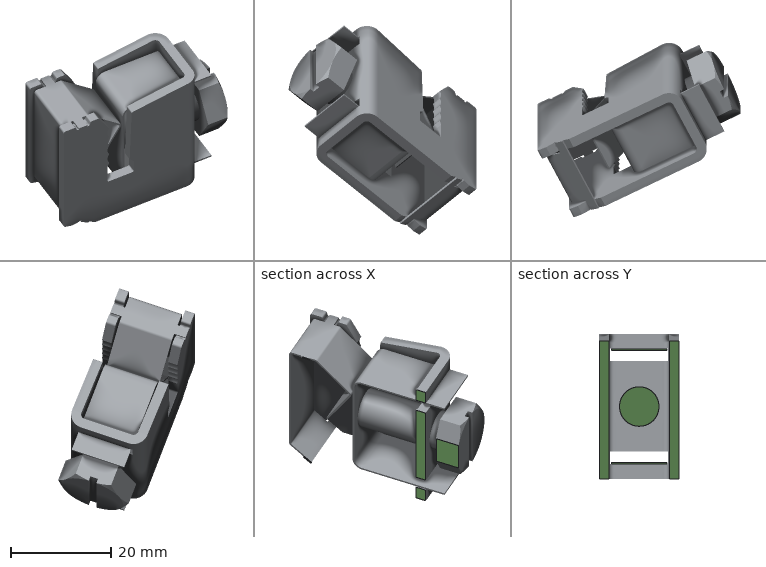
import cadquery as cq
import math


WIDTH = 16.0
HEIGHT = 29.0
YOKE_BACK = 30.98
WALL = 2.0
BEND_OUTER_RADIUS = 2.98
BEND_INNER_RADIUS = BEND_OUTER_RADIUS - WALL
MID_HEIGHT = HEIGHT / 2

SLOT_FLOOR = 10.05
SLOT_BACK = 15.95
SLOT_FRONT = 9.97
SLOT_CORNER_RADIUS = 0.3
WING_TOP = (15.47, 27.1)
WING_BOTTOM = (15.0, 14.02)
WING_RELIEF_TOP = 13.03
WING_CORNER_RADIUS = 0.3

TOOTH_DEPTH = 0.4
TOOTH_TIP = SLOT_FRONT + TOOTH_DEPTH
TOOTH_PITCH = 2.45
TOOTH_COUNT = 5
FIRST_TOOTH = 15.3
JAW_FACE_TOP = 14.25

JAW_CREST = 7.95
JAW_EDGE_RADIUS = 0.5
NOTCH_CENTRE = 4.45
NOTCH_FLOOR_WIDTH = 2.83
NOTCH_TOP_WIDTH = 3.48
NOTCH_DEPTH = 1.0
NOTCH_FLOOR = HEIGHT - NOTCH_DEPTH
NOTCH_EDGE_RADIUS = 0.4
NOTCH_FLOOR_RADIUS = 0.3
RAMP_START = 7.1
RAMP_ANGLE = math.radians(33.5)
RAMP_END = 3.85
RAMP_STEP = (3.5, 1.87)
TOE_LOW = (1.95, 1.55)
TOE_FRONT_HEIGHT = 2.02

SHEET = 0.4
SHEET_WIDTH = 11.15

TAB_LENGTH = 2.0
CLIP_TOP = NOTCH_FLOOR + SHEET
CLIP_FRONT = 0.73
CLIP_RADIUS = 0.73
CLIP_TIP = (14.6, 21.95)
CLIP_TIP_RADIUS = 0.55
CLIP_LEG_END = (9.25, 13.52)
CLIP_TOP_BACK = 6.8
LOWER_TAB_START = 5.75

PRESSURE_HEIGHT = 23.07
PRESSURE_FRONT = 14.75
PRESSURE_BACK = 35.0
PRESSURE_RADIUS = 2.05
WINDOW_WIDTH = 11.7
WINDOW_HEIGHT = 2.52

SCREW_DIAMETER = 8.0
HEAD_FLATS = 13.0
HEAD_CORNERS = HEAD_FLATS / math.cos(math.pi / 6)
HEAD_TOP = 38.2
HEAD_HEIGHT = 5.0
HEAD_CHAMFER_RADIUS = 6.5
HEAD_CHAMFER_ANGLE = math.radians(30)
DRIVE_SLOT_WIDTH = 1.6
DRIVE_SLOT_DEPTH = 1.0


def unit(start, end):
    """Unit vector from one (y, z) point to another."""
    length = math.dist(start, end)
    return ((end[0] - start[0]) / length, (end[1] - start[1]) / length)


def shifted(point, direction, distance):
    """Point moved a distance along a direction."""
    return (point[0] + direction[0] * distance, point[1] + direction[1] * distance)


def draw_rounded(sketch, start, corners):
    """Continue a sketch from a point through (point, radius) corners; the last one stays sharp."""
    points = [start] + [point for point, _ in corners]
    for i, (corner, radius) in enumerate(corners):
        if radius == 0 or i == len(corners) - 1:
            sketch = sketch.lineTo(*corner)
            continue
        back = unit(corner, points[i])
        ahead = unit(corner, points[i + 2])
        half_angle = math.acos(back[0] * ahead[0] + back[1] * ahead[1]) / 2
        tangent = radius / math.tan(half_angle)
        bisector = unit((0, 0), (back[0] + ahead[0], back[1] + ahead[1]))
        middle = shifted(corner, bisector, radius / math.sin(half_angle) - radius)
        sketch = sketch.lineTo(*shifted(corner, back, tangent))
        sketch = sketch.threePointArc(middle, shifted(corner, ahead, tangent))
    return sketch


def bent_sheet(outer):
    """Sheet following (point, radius) corners on its outer side, turning only from +Y to +Z."""
    points = [point for point, _ in outer]
    directions = [unit(start, end) for start, end in zip(points, points[1:])]
    arriving = [directions[0]] + directions
    leaving = directions + [directions[-1]]
    inner = []
    for (point, radius), before, after in zip(outer, arriving, leaving):
        mitre = (-before[1] - after[1], before[0] + after[0])
        scale = 2 * SHEET / (mitre[0] ** 2 + mitre[1] ** 2)
        inner.append((shifted(point, mitre, scale), max(radius - SHEET, 0)))
    inner.reverse()
    inner_start = inner[0][0]
    profile = cq.Workplane("YZ").moveTo(*points[0])
    profile = draw_rounded(profile, points[0], outer[1:])
    profile = profile.lineTo(*inner_start)
    profile = draw_rounded(profile, inner_start, inner[1:])
    return profile.close().extrude(SHEET_WIDTH / 2, both=True)


def ramp_height(y):
    """Height of the jaw's sloping underside."""
    return (RAMP_START - y) * math.tan(RAMP_ANGLE)


def yoke_side_outline():
    """Outline of the yoke wings and jaw, from the rear bottom corner up and over to the front."""
    notch_top_back = NOTCH_CENTRE + NOTCH_TOP_WIDTH / 2
    notch_floor_back = NOTCH_CENTRE + NOTCH_FLOOR_WIDTH / 2
    notch_floor_front = NOTCH_CENTRE - NOTCH_FLOOR_WIDTH / 2
    notch_top_front = NOTCH_CENTRE - NOTCH_TOP_WIDTH / 2
    rear_bottom = (YOKE_BACK, 0)
    top_tooth = (TOOTH_TIP, FIRST_TOOTH + (TOOTH_COUNT - 1) * TOOTH_PITCH)
    outline = draw_rounded(
        cq.Workplane("YZ").moveTo(*rear_bottom),
        rear_bottom,
        [
            ((YOKE_BACK, HEIGHT), 0),
            ((YOKE_BACK - BEND_OUTER_RADIUS, HEIGHT), 0),
            (WING_TOP, WING_CORNER_RADIUS),
            (WING_BOTTOM, 0),
            ((SLOT_BACK, WING_RELIEF_TOP), 0),
            ((SLOT_BACK, SLOT_FLOOR), SLOT_CORNER_RADIUS),
            ((SLOT_FRONT, SLOT_FLOOR), SLOT_CORNER_RADIUS),
            ((SLOT_FRONT, JAW_FACE_TOP), 0),
            ((TOOTH_TIP, FIRST_TOOTH), 0),
        ],
    )
    for tooth in range(1, TOOTH_COUNT):
        tip_height = FIRST_TOOTH + tooth * TOOTH_PITCH
        valley = (SLOT_FRONT, tip_height - TOOTH_PITCH / 2)
        outline = outline.threePointArc(valley, (TOOTH_TIP, tip_height))
    outline = draw_rounded(
        outline,
        top_tooth,
        [
            ((JAW_CREST, HEIGHT), JAW_EDGE_RADIUS),
            ((notch_top_back, HEIGHT), NOTCH_EDGE_RADIUS),
            ((notch_floor_back, NOTCH_FLOOR), NOTCH_FLOOR_RADIUS),
            ((notch_floor_front, NOTCH_FLOOR), NOTCH_FLOOR_RADIUS),
            ((notch_top_front, HEIGHT), NOTCH_EDGE_RADIUS),
            ((0, HEIGHT), JAW_EDGE_RADIUS),
            ((0, TOE_FRONT_HEIGHT), JAW_EDGE_RADIUS),
            (TOE_LOW, 0),
            (RAMP_STEP, 0),
            ((RAMP_END, ramp_height(RAMP_END)), 0),
            ((RAMP_START, 0), 0),
        ],
    )
    return outline.close()


def make_yoke():
    """Bent U-shaped yoke with its side outline and the guide windows in its back."""
    outer = cq.Workplane("XY").box(WIDTH, YOKE_BACK, HEIGHT, centered=(True, False, False))
    outer = outer.edges("|Z and >Y").fillet(BEND_OUTER_RADIUS)
    inner = cq.Workplane("XY").box(
        WIDTH - 2 * WALL, YOKE_BACK - WALL, HEIGHT, centered=(True, False, False)
    )
    inner = inner.edges("|Z and >Y").fillet(BEND_INNER_RADIUS)
    yoke = outer.cut(inner).intersect(yoke_side_outline().extrude(WIDTH, both=True))
    window_offset = (PRESSURE_HEIGHT - WINDOW_HEIGHT) / 2
    for side in (-1, 1):
        window = cq.Workplane("XY").box(WINDOW_WIDTH, 2 * BEND_OUTER_RADIUS, WINDOW_HEIGHT)
        yoke = yoke.cut(window.translate((0, YOKE_BACK, MID_HEIGHT + side * window_offset)))
    return yoke


def make_clip():
    """Spring clip: V-shaped spring leg, roof, front wall and sloping foot, with locating tabs."""
    down_ramp = (math.cos(RAMP_ANGLE), -math.sin(RAMP_ANGLE))
    off_ramp = (-math.sin(RAMP_ANGLE), -math.cos(RAMP_ANGLE))
    tab_back = (LOWER_TAB_START, ramp_height(LOWER_TAB_START))
    foot_end = shifted(tab_back, off_ramp, SHEET)
    foot_front = foot_end[1] + (foot_end[0] - CLIP_FRONT) * math.tan(RAMP_ANGLE)
    clip = bent_sheet(
        [
            (CLIP_LEG_END, 0),
            (CLIP_TIP, CLIP_TIP_RADIUS),
            ((CLIP_TOP_BACK, CLIP_TOP), CLIP_RADIUS),
            ((CLIP_FRONT, CLIP_TOP), CLIP_RADIUS),
            ((CLIP_FRONT, foot_front), CLIP_RADIUS),
            (foot_end, 0),
        ]
    )
    upper_tab = cq.Workplane("XY").box(WIDTH, TAB_LENGTH, SHEET)
    upper_tab = upper_tab.translate((0, NOTCH_CENTRE, NOTCH_FLOOR + SHEET / 2))
    lower_tab = (
        cq.Workplane("YZ")
        .polyline(
            [
                tab_back,
                foot_end,
                shifted(foot_end, down_ramp, -TAB_LENGTH),
                shifted(tab_back, down_ramp, -TAB_LENGTH),
            ]
        )
        .close()
        .extrude(WIDTH / 2, both=True)
    )
    return clip.union(upper_tab).union(lower_tab)


def make_pressure_sheet():
    """U-shaped sheet whose two legs slide through the windows in the yoke back."""
    bottom = MID_HEIGHT - PRESSURE_HEIGHT / 2
    top = MID_HEIGHT + PRESSURE_HEIGHT / 2
    return bent_sheet(
        [
            ((PRESSURE_BACK, top), 0),
            ((PRESSURE_FRONT, top), PRESSURE_RADIUS),
            ((PRESSURE_FRONT, bottom), PRESSURE_RADIUS),
            ((PRESSURE_BACK, bottom), 0),
        ]
    )


def make_screw():
    """Slotted hexagon screw with a chamfered head, reaching the pressure sheet."""
    head_bottom = HEAD_TOP - HEAD_HEIGHT
    axis_plane = cq.Workplane("XZ", origin=(0, HEAD_TOP, MID_HEIGHT))
    head = axis_plane.polygon(6, HEAD_CORNERS).extrude(HEAD_HEIGHT)
    cone_radius = HEAD_CHAMFER_RADIUS + HEAD_HEIGHT / math.tan(HEAD_CHAMFER_ANGLE)
    cone = cq.Solid.makeCone(
        HEAD_CHAMFER_RADIUS,
        cone_radius,
        HEAD_HEIGHT,
        cq.Vector(0, HEAD_TOP, MID_HEIGHT),
        cq.Vector(0, -1, 0),
    )
    drive_slot = cq.Workplane("XY").box(DRIVE_SLOT_WIDTH, 2 * DRIVE_SLOT_DEPTH, HEAD_CORNERS)
    head = head.intersect(cq.Workplane(cone)).cut(drive_slot.translate((0, HEAD_TOP, MID_HEIGHT)))
    shaft_length = head_bottom - PRESSURE_FRONT - SHEET
    shaft = (
        cq.Workplane("XZ", origin=(0, head_bottom, MID_HEIGHT))
        .circle(SCREW_DIAMETER / 2)
        .extrude(shaft_length)
    )
    return head.union(shaft)


result = make_yoke().union(make_clip()).union(make_pressure_sheet()).union(make_screw())